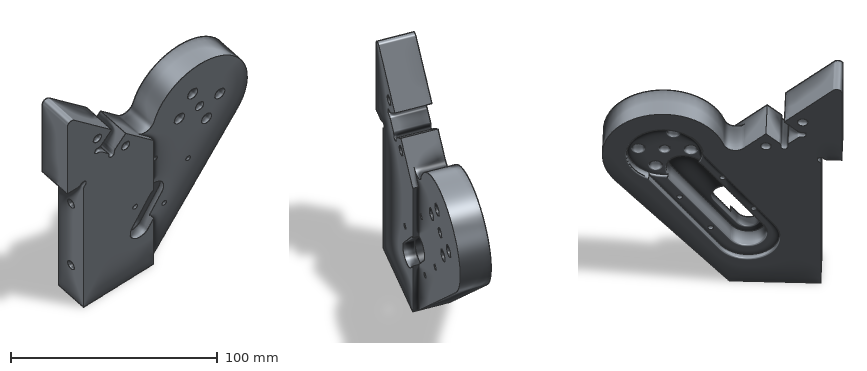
import cadquery as cq
import math

base_thickness = 19.0
lobe_thickness = 16.0
height = 139.8
overall_depth = 115.9
rim_radius = 0.8
over_cut = 1.4
tolerance = 0.01

foot_face_y = 10.2
foot_back_y = 54.4
ledge_z = 88.9
tip_radius = 2.5
relief_radius = 1.7
relief_length = 4.2
relief_mouth_radius = 2.5

lobe_radius = 30.0
lobe_y = overall_depth - lobe_radius
lobe_z = 88.9
valley_radius = 5.9

notch_size = 12.6
notch_mid_y = 32.3
clamp_hole_diameter = 5.0

arm_angle = 55.0
arm_length = 69.6
disc_radius = 18.3
disc_depth = 4.5
shelf_radius = 15.8
shelf_depth = 3.0
channel_radius = 9.5
channel_shoulder = 18.6
channel_nose_tip = 7.7
channel_nose_radius = 8.0
channel_depth = 12.6
window_radius = 6.3
window_length = 19.2

center_hole_diameter = 5.2
ring_hole_diameter = 6.3
hole_rim_radius = 0.5
ring_radius = 12.7
ring_angles = (0, 70, 180, 250)
cover_hole_diameter = 2.8
cover_hole_offset = 12.7
cover_hole_stations = (30.8, 57.0)
foot_hole_diameter = 5.0
foot_hole_depth = 15.0
foot_hole_heights = (22.4, 66.7)

slope_sum = height + tip_radius * math.sqrt(2)
diagonal = math.sqrt(0.5)
lobe_center = (lobe_y, lobe_z)


def plane_at(x):
    return cq.Workplane("YZ", origin=(x, 0, 0))


def arm_point(along, across=0.0):
    """Point at a distance along and across the arm axis, as (Y, Z)."""
    angle = math.radians(arm_angle)
    y = lobe_y - along * math.cos(angle) - across * math.sin(angle)
    z = lobe_z - along * math.sin(angle) + across * math.cos(angle)
    return (y, z)


def disc(center, radius, x_start, x_end):
    return plane_at(x_start).center(*center).circle(radius).extrude(x_end - x_start)


def arm_slot(start, radius, x_start, x_end):
    """Round-ended prism along the arm, from a start station to the arm end."""
    length = arm_length - start + 2 * radius
    middle = arm_point((start + arm_length) / 2)
    sketch = plane_at(x_start).center(*middle).slot2D(length, 2 * radius, arm_angle)
    return sketch.extrude(x_end - x_start)


def arm_coordinates(edge):
    """Distance of the middle of an edge along and across the arm axis."""
    angle = math.radians(arm_angle)
    middle = edge.positionAt(0.5)
    back = lobe_y - middle.y
    down = lobe_z - middle.z
    along = back * math.cos(angle) + down * math.sin(angle)
    across = abs(back * math.sin(angle) - down * math.cos(angle))
    return along, across


def slice_at(x):
    """Selector for edges or faces lying in the plane at x."""
    low = (x - tolerance, -height, -height)
    high = (x + tolerance, 2 * height, 2 * height)
    return cq.selectors.BoxSelector(low, high, boundingbox=True)


def round_floor_openings(body, x, radius):
    """Round the rims of all openings inside the face lying in the plane at x."""
    floor = body.faces(slice_at(x)).val()
    rims = [edge for wire in floor.innerWires() for edge in wire.Edges()]
    return body.newObject(rims).fillet(radius)


def base_plate():
    outline = [
        (foot_face_y, 0),
        (foot_back_y, 0),
        (foot_back_y, slope_sum - foot_back_y),
        (0, slope_sum),
        (0, ledge_z),
        (foot_face_y, ledge_z),
    ]
    plate = plane_at(0).polyline(outline).close().extrude(base_thickness)
    return plate.edges(">Z").fillet(tip_radius)


def lobe_plate():
    reach = math.hypot(lobe_y - foot_back_y, lobe_z)
    heading = math.atan2(-lobe_z, foot_back_y - lobe_y)
    tangent_angle = heading + math.acos(lobe_radius / reach)
    tangent = (
        lobe_y + lobe_radius * math.cos(tangent_angle),
        lobe_z + lobe_radius * math.sin(tangent_angle),
    )

    center_gap = lobe_radius + valley_radius
    line_gap = (slope_sum - lobe_y - lobe_z) * diagonal + valley_radius
    side_gap = math.sqrt(center_gap**2 - line_gap**2)
    valley_y = lobe_y + (line_gap - side_gap) * diagonal
    valley_z = lobe_z + (line_gap + side_gap) * diagonal
    lobe_touch = (
        lobe_y + (valley_y - lobe_y) * lobe_radius / center_gap,
        lobe_z + (valley_z - lobe_z) * lobe_radius / center_gap,
    )
    slope_touch = (valley_y - valley_radius * diagonal, valley_z - valley_radius * diagonal)
    touch_angle = math.atan2(lobe_z - valley_z, lobe_y - valley_y)
    middle_angle = (touch_angle - 3 * math.pi / 4) / 2
    valley_middle = (
        valley_y + valley_radius * math.cos(middle_angle),
        valley_z + valley_radius * math.sin(middle_angle),
    )
    profile = (
        plane_at(0)
        .moveTo(foot_back_y, 0)
        .lineTo(*tangent)
        .threePointArc((lobe_y, lobe_z + lobe_radius), lobe_touch)
        .threePointArc(valley_middle, slope_touch)
        .lineTo(slope_touch[0], 0)
        .close()
    )
    return profile.extrude(lobe_thickness)


def channel_prism():
    """Deep channel: round at the arm end, closing in tangent arcs to a nose inside the recess."""
    shoulder_gap = channel_shoulder - channel_nose_tip - channel_nose_radius
    width_gap = channel_radius - channel_nose_radius
    side_radius = channel_nose_radius + (shoulder_gap**2 + width_gap**2) / (2 * width_gap)
    side_across = channel_radius - side_radius
    flank_angle = math.atan2(shoulder_gap, -side_across)

    def side_point(angle, side):
        along = channel_shoulder - side_radius * math.sin(angle)
        across = side_across + side_radius * math.cos(angle)
        return arm_point(along, side * across)

    profile = (
        plane_at(-over_cut)
        .moveTo(*arm_point(arm_length, channel_radius))
        .threePointArc(arm_point(arm_length + channel_radius), arm_point(arm_length, -channel_radius))
        .lineTo(*arm_point(channel_shoulder, -channel_radius))
        .threePointArc(side_point(flank_angle / 2, -1), side_point(flank_angle, -1))
        .threePointArc(arm_point(channel_nose_tip), side_point(flank_angle, 1))
        .threePointArc(side_point(flank_angle / 2, 1), arm_point(channel_shoulder, channel_radius))
        .close()
    )
    return profile.extrude(channel_depth + over_cut)


def cut_shelf_and_recess(body):
    shelf = arm_slot(0, shelf_radius, -over_cut, shelf_depth)
    recess = disc(lobe_center, disc_radius, -over_cut, disc_depth)
    body = body.cut(shelf).cut(recess)
    return round_floor_openings(body, 0, rim_radius)


def cut_channel(body):
    body = body.cut(channel_prism())

    shelf_middle = (channel_radius + shelf_radius) / 2 + rim_radius
    shelf_inner_end = arm_length + (channel_radius + shelf_radius) / 2

    def borders_shelf_inside(edge):
        along, across = arm_coordinates(edge)
        return across < shelf_middle and along < shelf_inner_end

    def borders_channel_nose(edge):
        return arm_coordinates(edge)[0] > 0

    shelf_edges = body.edges(slice_at(shelf_depth)).filter(borders_shelf_inside)
    nose_edges = body.edges(slice_at(disc_depth)).filter(borders_channel_nose)
    return shelf_edges.add(nose_edges).fillet(rim_radius)


def cut_window(body):
    window_start = arm_length - window_length
    window = arm_slot(window_start, window_radius, -over_cut, base_thickness + over_cut)
    return round_floor_openings(body.cut(window), channel_depth, rim_radius)


def through_hole(center, diameter):
    return disc(center, diameter / 2, -over_cut, base_thickness + over_cut)


def cut_recess_holes(body):
    """Centre hole and the ring of holes around it, with rounded rims."""
    body = body.cut(through_hole(lobe_center, center_hole_diameter))
    for angle in ring_angles:
        turn = math.radians(angle)
        y = lobe_y - ring_radius * math.cos(turn)
        z = lobe_z + ring_radius * math.sin(turn)
        body = body.cut(through_hole((y, z), ring_hole_diameter))
    return round_floor_openings(body, disc_depth, hole_rim_radius)


def cover_holes():
    """Screw holes in the shelf on both sides of the channel."""
    cutters = []
    for station in cover_hole_stations:
        for side in (-1, 1):
            center = arm_point(station, side * cover_hole_offset)
            cutters.append(through_hole(center, cover_hole_diameter))
    return cutters


def relief(corner, toward):
    """Round-ended slot centred on a corner and running from it at the given angle."""
    start = cq.Workplane("YZ", origin=(-over_cut, *corner)).transformed(rotate=(0, 0, toward))
    length = base_thickness + 2 * over_cut
    end = start.circle(relief_radius).extrude(length)
    return end.union(start.center(relief_length / 2, 0).rect(relief_length, 2 * relief_radius).extrude(length))


def notch_cutters():
    """Square notch, its two corner reliefs and the clamp hole on each side."""
    edge_z = slope_sum - notch_mid_y
    half = notch_size * diagonal / 2
    notch = (
        plane_at(-over_cut)
        .center(notch_mid_y, edge_z)
        .transformed(rotate=(0, 0, 45))
        .rect(2 * notch_size, notch_size)
        .extrude(base_thickness + 2 * over_cut)
    )
    lower_relief = relief((notch_mid_y - half, edge_z - 3 * half), 90)
    upper_relief = relief((notch_mid_y - 3 * half, edge_z - half), 0)
    rear_hole = through_hole((notch_mid_y + half, edge_z - 3 * half), clamp_hole_diameter)
    front_hole = through_hole((notch_mid_y - 3 * half, edge_z + half), clamp_hole_diameter)
    return [notch, lower_relief, upper_relief, rear_hole, front_hole]


def foot_cutters():
    """Ledge corner relief and the blind mounting holes in the foot face."""
    cutters = [relief((foot_face_y, ledge_z), -135)]
    for z in foot_hole_heights:
        face = cq.Workplane("XZ", origin=(base_thickness / 2, foot_face_y, z))
        cutters.append(face.circle(foot_hole_diameter / 2).extrude(-foot_hole_depth))
    return cutters


def relief_mouths():
    """Points where the relief walls meet the faces beside them, as (Y, Z)."""
    edge_z = slope_sum - notch_mid_y
    half = notch_size * diagonal / 2
    lower_y = notch_mid_y - half
    upper_y = notch_mid_y - 3 * half
    reach = relief_radius / diagonal
    return [
        (foot_face_y - reach, ledge_z),
        (foot_face_y, ledge_z - reach),
        (lower_y - relief_radius, edge_z - 3 * half + relief_radius),
        (lower_y + relief_radius, edge_z - 3 * half + relief_radius),
        (upper_y + relief_radius, edge_z - half - relief_radius),
        (upper_y + relief_radius, edge_z - half + relief_radius),
    ]


def round_relief_mouths(body):
    for mouth in relief_mouths():
        mouth_edge = cq.selectors.NearestToPointSelector((base_thickness / 2, *mouth))
        body = body.edges(mouth_edge).fillet(relief_mouth_radius)
    return body


result = base_plate().union(lobe_plate())
result = cut_shelf_and_recess(result)
result = cut_channel(result)
result = cut_window(result)
result = cut_recess_holes(result)
for cutter in cover_holes() + notch_cutters() + foot_cutters():
    result = result.cut(cutter)
result = round_relief_mouths(result)